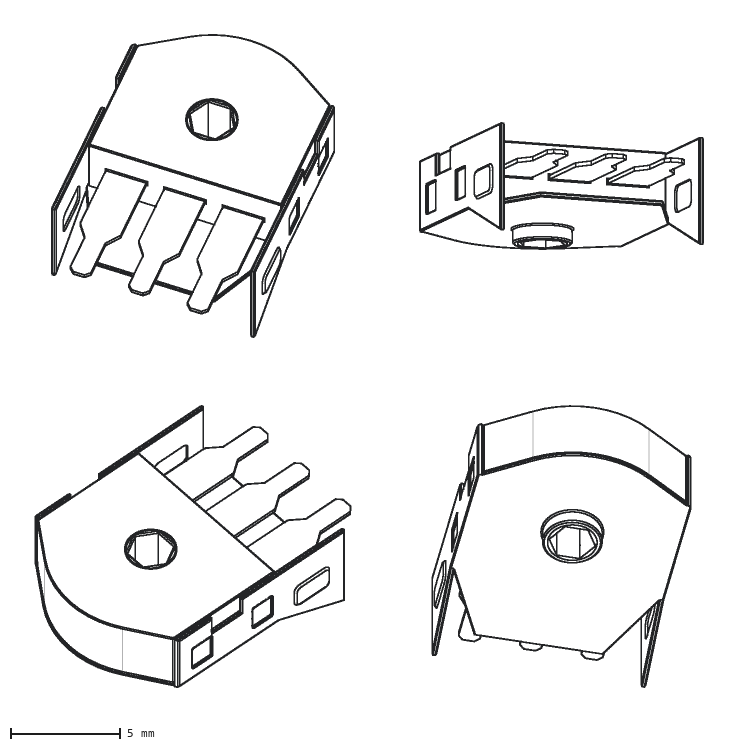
import cadquery as cq
import math


BREAK = 0.06

SHEET = 0.22
BRACKET_HALF_WIDTH = 5.0
BRACKET_RADIUS = 4.97
SHOULDER_ANGLE = 33.5
BRACKET_FRONT = -7.43
TONGUE_START = -3.59
TONGUE_HALF_WIDTH = 3.0
WALL_TOP = 3.29
WALL_KINK = -3.4
WALL_FRONT_BOTTOM = -1.68
WALL_INSIDE = BRACKET_HALF_WIDTH - SHEET

NOTCH_CENTER_Y = -0.27
NOTCH_WIDTH = 1.78
NOTCH_BOTTOM = 2.3
DIMPLE_CENTERS_Y = (1.22, -2.45)
DIMPLE_CENTER_Z = 1.37
DIMPLE_WIDTH = 1.24
DIMPLE_HEIGHT = 1.42
DIMPLE_DEPTH = 0.1
DIMPLE_CORNER = 0.1
PAD_CENTER_Y = -5.42
PAD_CENTER_Z = 0.92
PAD_WIDTH = 2.14
PAD_HEIGHT = 1.37
PAD_RISE = 0.1
EMBOSS_BREAK = PAD_RISE / 2
PAD_CORNER = 0.29

COLLAR_RADIUS = 1.37
COLLAR_BOTTOM = -0.69
COLLAR_BREAK = 0.07

ROTOR_RADIUS = 1.14
HEX_ACROSS_FLATS = 1.87
HEX_LEAD_IN = 0.07

HOUSING_RADIUS = 4.91
HOUSING_HALF_WIDTH = 4.75
HOUSING_FRONT = WALL_KINK

TERMINAL_PITCH = 2.87
TERMINAL_WIDTH = 1.98
TERMINAL_TIP_WIDTH = 1.0
TERMINAL_TAPER_START = -6.68
TERMINAL_TAPER_END = -7.36
TERMINAL_TIP = -9.4
TERMINAL_TIP_CHAMFER = 0.23
TERMINAL_BOTTOM = 1.65
TERMINAL_THICKNESS = 0.19


def back_outline(radius, half_width, front_points):
    """Closed XY outline: rounded back, sloped shoulders, then the right-hand points
    of the front, mirrored to the left."""
    angle = math.radians(SHOULDER_ANGLE)
    tangent_x = radius * math.sin(angle)
    tangent_y = radius * math.cos(angle)
    corner_y = tangent_y - (half_width - tangent_x) * math.tan(angle)
    right_side = [(half_width, corner_y)] + front_points
    left_side = [(-x, y) for x, y in reversed(right_side)]
    return (
        cq.Workplane("XY")
        .moveTo(-tangent_x, tangent_y)
        .threePointArc((0, radius), (tangent_x, tangent_y))
        .polyline(right_side + left_side, includeCurrent=True)
        .close()
    )


def wall_rectangle(x, center_y, center_z, width, height, depth, corner):
    """Block with rounded corners, starting at x and reaching `depth` toward +X."""
    return (
        cq.Workplane("YZ", origin=(x, center_y, center_z))
        .rect(width, height)
        .extrude(depth)
        .edges("|X")
        .fillet(corner)
    )


def make_rotor_space():
    """Cylinder filled by the rotor, from the end of the collar to the top face."""
    start = cq.Workplane("XY", origin=(0, 0, COLLAR_BOTTOM))
    return start.circle(ROTOR_RADIUS).extrude(WALL_TOP - COLLAR_BOTTOM)


def make_floor():
    """Bracket floor with its tapered tongue; the edges along the walls stay sharp."""
    front_points = [(WALL_INSIDE, TONGUE_START), (TONGUE_HALF_WIDTH, BRACKET_FRONT)]
    floor = back_outline(BRACKET_RADIUS, WALL_INSIDE, front_points).extrude(SHEET)
    return floor.faces("<Z or >Z").edges("not |Y").chamfer(BREAK)


def make_pad():
    """Embossed pad on the outside of the left wall, flared where it meets the wall."""
    wall_x = -BRACKET_HALF_WIDTH
    pad = wall_rectangle(
        wall_x - PAD_RISE, PAD_CENTER_Y, PAD_CENTER_Z,
        PAD_WIDTH - 2 * EMBOSS_BREAK, PAD_HEIGHT - 2 * EMBOSS_BREAK, PAD_RISE, PAD_CORNER,
    )
    flare = wall_rectangle(
        wall_x - EMBOSS_BREAK, PAD_CENTER_Y, PAD_CENTER_Z,
        PAD_WIDTH, PAD_HEIGHT, 2 * EMBOSS_BREAK, PAD_CORNER + EMBOSS_BREAK,
    )
    flare = flare.faces("<X").chamfer(EMBOSS_BREAK)
    return pad.faces("<X").chamfer(EMBOSS_BREAK).union(flare)


def make_left_wall():
    """Side wall at -X with its notch, two dimples and embossed pad."""
    outer_x = -BRACKET_HALF_WIDTH
    wall = (
        cq.Workplane("YZ", origin=(outer_x, 0, 0))
        .polyline([
            (BRACKET_RADIUS, 0),
            (BRACKET_RADIUS, WALL_TOP),
            (BRACKET_FRONT, WALL_TOP),
            (BRACKET_FRONT, WALL_FRONT_BOTTOM),
            (WALL_KINK, 0),
        ])
        .close()
        .extrude(SHEET)
    )
    front_points = [(BRACKET_HALF_WIDTH, BRACKET_FRONT)]
    plan = back_outline(BRACKET_RADIUS, BRACKET_HALF_WIDTH, front_points)
    wall_height = WALL_TOP - WALL_FRONT_BOTTOM
    wall = wall.intersect(plan.extrude(wall_height).translate((0, 0, WALL_FRONT_BOTTOM)))

    notch_height = WALL_TOP - NOTCH_BOTTOM
    notch = cq.Workplane("XY").box(
        2 * SHEET, NOTCH_WIDTH, notch_height, centered=(True, True, False)
    )
    wall = wall.cut(notch.translate((outer_x + SHEET / 2, NOTCH_CENTER_Y, NOTCH_BOTTOM)))

    bend_edge = cq.selectors.BoxSelector(
        (outer_x + SHEET / 2, WALL_KINK, -SHEET / 2),
        (outer_x + 3 * SHEET / 2, BRACKET_RADIUS, SHEET / 2),
    )
    free_edges = cq.selectors.InverseSelector(bend_edge)
    wall = wall.faces("<X or >X").edges(free_edges).chamfer(BREAK)

    for center_y in DIMPLE_CENTERS_Y:
        dimple = wall_rectangle(
            outer_x, center_y, DIMPLE_CENTER_Z,
            DIMPLE_WIDTH, DIMPLE_HEIGHT, DIMPLE_DEPTH, DIMPLE_CORNER,
        ).faces(">X").chamfer(EMBOSS_BREAK)
        wall = wall.cut(dimple)

    wall = wall.union(make_pad())
    pad_recess = wall_rectangle(
        outer_x + SHEET - PAD_RISE, PAD_CENTER_Y, PAD_CENTER_Z,
        PAD_WIDTH - 2 * EMBOSS_BREAK, PAD_HEIGHT - 2 * EMBOSS_BREAK, PAD_RISE, PAD_CORNER,
    )
    return wall.cut(pad_recess)


def make_bracket():
    """Floor, two mirrored side walls and the collar around the rotor."""
    left_wall = make_left_wall()
    collar = (
        cq.Workplane("XY")
        .circle(COLLAR_RADIUS)
        .extrude(COLLAR_BOTTOM)
        .faces("<Z")
        .edges()
        .chamfer(COLLAR_BREAK)
    )
    bracket = make_floor().union(left_wall).union(left_wall.mirror("YZ")).union(collar)
    root = (
        cq.Workplane("XY")
        .circle(COLLAR_RADIUS + COLLAR_BREAK)
        .extrude(-COLLAR_BREAK, taper=45)
    )
    return bracket.union(root).cut(make_rotor_space())


def make_terminal(center_x):
    """Flat terminal whose root flares out to meet the housing."""
    half_root = TERMINAL_WIDTH / 2
    half_tip = TERMINAL_TIP_WIDTH / 2
    right_side = [
        (half_root, HOUSING_FRONT),
        (half_root, TERMINAL_TAPER_START),
        (half_tip, TERMINAL_TAPER_END),
        (half_tip, TERMINAL_TIP + TERMINAL_TIP_CHAMFER),
        (half_tip - TERMINAL_TIP_CHAMFER, TERMINAL_TIP),
    ]
    left_side = [(-x, y) for x, y in reversed(right_side)]
    blade = (
        cq.Workplane("XY", origin=(center_x, 0, TERMINAL_BOTTOM))
        .polyline(right_side + left_side)
        .close()
        .extrude(TERMINAL_THICKNESS)
    )
    middle_z = TERMINAL_BOTTOM + TERMINAL_THICKNESS / 2
    root = (
        cq.Workplane("XZ", origin=(center_x, HOUSING_FRONT, middle_z))
        .rect(TERMINAL_WIDTH + 2 * BREAK, TERMINAL_THICKNESS + 2 * BREAK)
        .workplane(offset=BREAK)
        .rect(TERMINAL_WIDTH, TERMINAL_THICKNESS)
        .loft(ruled=True)
    )
    return blade.union(root)


def make_housing():
    """Solid block bored for the rotor, with three terminals on its front face."""
    front_points = [(HOUSING_HALF_WIDTH, HOUSING_FRONT)]
    housing = (
        back_outline(HOUSING_RADIUS, HOUSING_HALF_WIDTH, front_points)
        .extrude(WALL_TOP - SHEET)
        .translate((0, 0, SHEET))
    )
    housing = housing.edges("|Z").edges("<X or >X").chamfer(BREAK)
    housing = housing.cut(make_rotor_space()).faces(">Z").edges().chamfer(BREAK)
    for column in (-1, 0, 1):
        housing = housing.union(make_terminal(column * TERMINAL_PITCH))
    return housing


def make_rotor():
    """Cylinder with a hexagonal through bore that widens at the top."""
    corner_ratio = 1 / math.cos(math.radians(30))
    across_corners = HEX_ACROSS_FLATS * corner_ratio
    lead_in_across_corners = (HEX_ACROSS_FLATS + 2 * HEX_LEAD_IN) * corner_ratio
    top = cq.Workplane("XY", origin=(0, 0, WALL_TOP))
    hex_bore = top.polygon(6, across_corners).extrude(COLLAR_BOTTOM - WALL_TOP)
    lead_in = (
        top.polygon(6, lead_in_across_corners)
        .workplane(offset=-HEX_LEAD_IN)
        .polygon(6, across_corners)
        .loft(ruled=True)
    )
    return make_rotor_space().cut(hex_bore).cut(lead_in)


housing = make_housing()
bracket = make_bracket()
rotor = make_rotor()
result = cq.Compound.makeCompound([housing.val(), bracket.val(), rotor.val()])